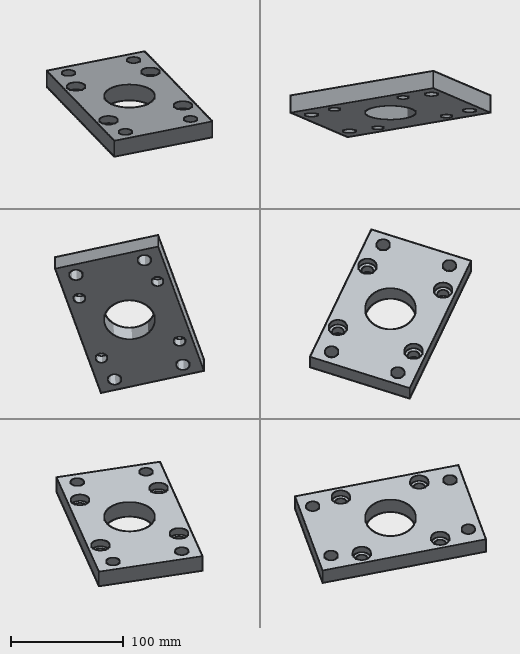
import cadquery as cq

length = 150.0
width = 95.0
thickness = 16.0

bore_diameter = 45.0

mount_spacing_x = 126.0
mount_spacing_y = 63.0
mount_diameter = 12.0

screw_spacing = 72.0
screw_diameter = 10.5
counterbore_diameter = 16.5
counterbore_depth = 7.0


def hole_corners(body, spacing_x, spacing_y):
    """Select a point on the top face at each corner of a centred rectangle."""
    top = body.faces(">Z").workplane(origin=(0, 0, 0))
    return top.rect(spacing_x, spacing_y, forConstruction=True).vertices()


plate = cq.Workplane("XY").box(length, width, thickness, centered=(True, True, False))

plate = plate.faces(">Z").workplane(origin=(0, 0, 0)).hole(bore_diameter)

plate = hole_corners(plate, mount_spacing_x, mount_spacing_y).hole(mount_diameter)

result = hole_corners(plate, screw_spacing, screw_spacing).cboreHole(
    screw_diameter, counterbore_diameter, counterbore_depth
)